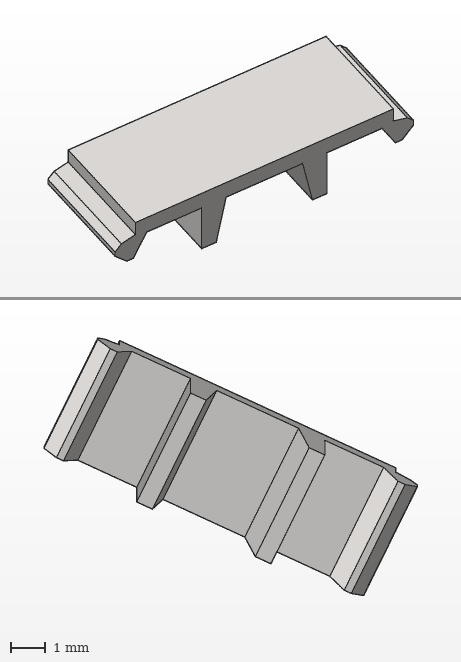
import cadquery as cq

width = 3.6
length = 10.2
height = 2.2

plate_length = 8.81
plate_thickness = 0.58

leg_outer_y = 2.14
leg_tip_thickness = 0.5
leg_root_thickness = 0.84

lip_step_depth = 0.48
lip_shoulder_y = 4.89
lip_shoulder_depth = 0.6
lip_nose_top_depth = 0.82
lip_nose_bottom_depth = 0.99
lip_bottom_depth = 1.39
lip_bottom_outer_y = 4.7
lip_bottom_inner_y = 4.48
lip_root_y = 4.02

half_profile = [
    (plate_length / 2, 0),
    (plate_length / 2, -lip_step_depth),
    (lip_shoulder_y, -lip_shoulder_depth),
    (length / 2, -lip_nose_top_depth),
    (length / 2, -lip_nose_bottom_depth),
    (lip_bottom_outer_y, -lip_bottom_depth),
    (lip_bottom_inner_y, -lip_bottom_depth),
    (lip_root_y, -plate_thickness),
    (leg_outer_y, -plate_thickness),
    (leg_outer_y, -height),
    (leg_outer_y - leg_tip_thickness, -height),
    (leg_outer_y - leg_root_thickness, -plate_thickness),
]
mirrored_half = [(-y, z) for y, z in reversed(half_profile)]

result = (
    cq.Workplane("YZ")
    .polyline(half_profile + mirrored_half)
    .close()
    .extrude(width / 2, both=True)
)